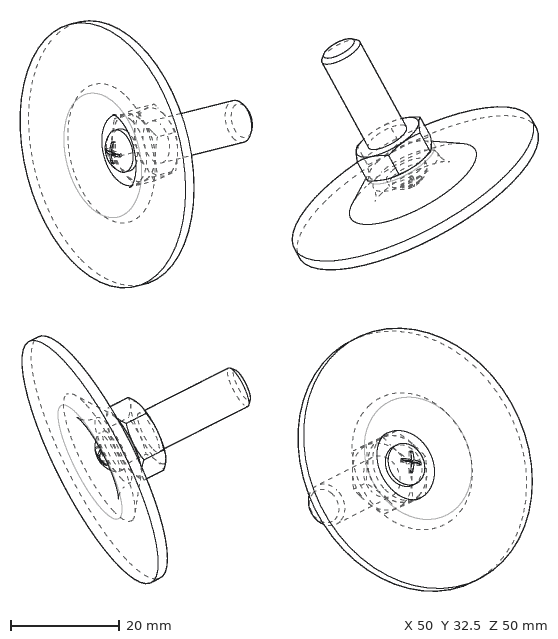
import cadquery as cq
import math

overall_length = 32.5

plate_radius = 25.0
plate_thickness = 2.0

hub_base_radius = 13.15
hub_rim_radius = 7.0
hub_rim_y = 6.85
hub_end_radius = 6.4
hub_end_y = 7.25

recess_floor_radius = 6.75
recess_depth = 5.0
recess_mouth_radius = recess_floor_radius + recess_depth

nut_across_flats = 13.0
nut_end_y = 12.5
nut_chamfer_angle = 25.0
nut_face_radius = nut_across_flats / 2 - 0.05
stud_radius = 4.0
stud_chamfer_length = 0.8
stud_chamfer_width = 0.8

head_rim_height = 1.0
dome_height = 2.2
slot_length = 4.1
slot_width = 0.5
slot_depth = 1.0


def revolve_about_y(profile):
    return profile.close().revolve(360, (0, 0, 0), (0, 1, 0))


def cylinder_along_y(radius, start, end):
    return cq.Workplane("XZ", origin=(0, start, 0)).circle(radius).extrude(start - end)


def make_foot():
    arc_offset = recess_depth * math.sqrt(0.5)
    lip_middle = (recess_mouth_radius - arc_offset, recess_depth - arc_offset)
    profile = (
        cq.Workplane("XY")
        .moveTo(0, recess_depth)
        .lineTo(recess_floor_radius, recess_depth)
        .threePointArc(lip_middle, (recess_mouth_radius, 0))
        .lineTo(plate_radius, 0)
        .lineTo(plate_radius, plate_thickness)
        .lineTo(hub_base_radius, plate_thickness)
        .lineTo(hub_rim_radius, hub_rim_y)
        .lineTo(hub_end_radius, hub_end_y)
        .lineTo(0, hub_end_y)
    )
    return revolve_about_y(profile)


def make_nut():
    corner_radius = nut_across_flats / math.sqrt(3)
    hexagon = (
        cq.Workplane("XZ", origin=(0, hub_end_y, 0))
        .transformed(rotate=(0, 0, 90))
        .polygon(6, 2 * corner_radius)
        .extrude(hub_end_y - nut_end_y)
    )
    chamfer_length = (corner_radius - nut_face_radius) * math.tan(math.radians(nut_chamfer_angle))
    envelope = revolve_about_y(
        cq.Workplane("XY")
        .moveTo(0, hub_end_y)
        .lineTo(nut_face_radius, hub_end_y)
        .lineTo(corner_radius, hub_end_y + chamfer_length)
        .lineTo(corner_radius, nut_end_y - chamfer_length)
        .lineTo(nut_face_radius, nut_end_y)
        .lineTo(0, nut_end_y)
    )
    return hexagon.intersect(envelope)


def make_stud():
    stud = cylinder_along_y(stud_radius, hub_end_y, overall_length)
    return stud.faces(">Y").chamfer(stud_chamfer_length, stud_chamfer_width)


def make_head():
    rim_y = recess_depth - head_rim_height
    top_y = rim_y - dome_height
    sphere_radius = (stud_radius**2 + dome_height**2) / (2 * dome_height)
    middle_radius = stud_radius / 2
    middle_y = top_y + sphere_radius - math.sqrt(sphere_radius**2 - middle_radius**2)
    head = revolve_about_y(
        cq.Workplane("XY")
        .moveTo(0, recess_depth)
        .lineTo(stud_radius, recess_depth)
        .lineTo(stud_radius, rim_y)
        .threePointArc((middle_radius, middle_y), (0, top_y))
    )
    cutter_height = 2 * slot_depth
    for x_size, z_size in ((slot_length, slot_width), (slot_width, slot_length)):
        head = head.cut(cq.Workplane("XY").box(x_size, cutter_height, z_size).translate((0, top_y, 0)))
    return head


result = make_foot().union(make_nut()).union(make_stud()).union(make_head())